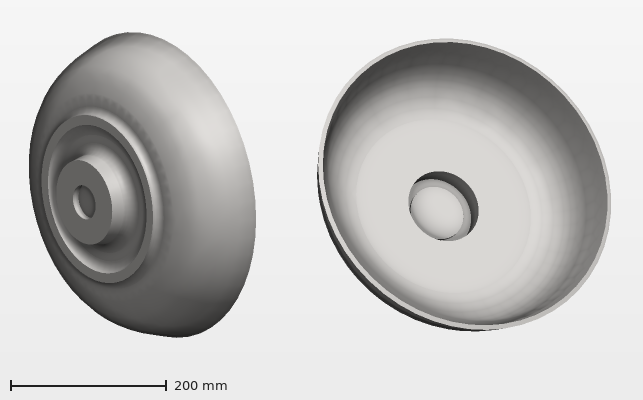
import cadquery as cq
import math


rim_radius = 200.0
wall_thickness = 6.0
wall_taper = math.radians(18.2)
bowl_depth = 89.0
shoulder_points = [(184.5, -48.0), (169.2, -70.0), (157.2, -79.0), (144.5, -84.5)]

ring_root_radius = 119.2
ring_outer_radius = 110.0
ring_inner_radius = 97.2
ring_depth = 99.2

groove_outer_radius = 83.0
groove_inner_radius = 72.0
groove_depth = 91.5

boss_root_radius = 58.5
boss_root_depth = 104.5
boss_end_radius = 55.2
boss_end_depth = 121.2
boss_end_thickness = 9.5
bore_radius = 48.0
hole_radius = 22.5

cover_radius = 36.0
cover_thickness = 4.0

rim_depth = wall_thickness * math.sin(wall_taper)
rim_inner_radius = rim_radius - wall_thickness * math.cos(wall_taper)
inner_depth = bowl_depth - wall_thickness
bore_depth = boss_end_depth - boss_end_thickness

rim_direction = (-math.sin(wall_taper), -math.cos(wall_taper))
wall_points = [(rim_radius, -rim_depth), *shoulder_points, (ring_root_radius, -bowl_depth)]


def inner_wall_points():
    """Inner wall from the bottom up to the rim, one wall thickness inside the outer wall."""
    points = [(ring_root_radius, -inner_depth)]
    for index in range(len(shoulder_points), 0, -1):
        before, point, after = wall_points[index - 1:index + 2]
        run = after[0] - before[0]
        drop = after[1] - before[1]
        chord = math.hypot(run, drop)
        points.append((
            point[0] + wall_thickness * drop / chord,
            point[1] - wall_thickness * run / chord,
        ))
    return points + [(rim_inner_radius, 0)]


def groove_outer_mid():
    """Middle of the outer groove fillet, an arc tangent to the floor that meets the ring face."""
    width = ring_inner_radius - groove_outer_radius
    height = ring_depth - groove_depth
    fillet_radius = (width**2 + height**2) / (2 * height)
    half_sweep = math.atan2(height, width)
    return (
        groove_outer_radius + fillet_radius * math.sin(half_sweep),
        -groove_depth - fillet_radius * (1 - math.cos(half_sweep)),
    )


def make_bowl():
    root_width = ring_root_radius - ring_outer_radius
    root_height = ring_depth - bowl_depth
    bulge = 1 - math.sqrt(0.5)
    root_mid = (
        ring_outer_radius + bulge * root_width,
        -bowl_depth - bulge * root_height,
    )
    inner_points = inner_wall_points()
    bottom_direction = (-1, 0)
    inner_bottom_direction = (1, 0)
    inner_rim_direction = (-rim_direction[0], -rim_direction[1])
    profile = (
        cq.Workplane("XY")
        .moveTo(rim_inner_radius, 0)
        .lineTo(rim_radius, -rim_depth)
        .spline(wall_points[1:], tangents=[rim_direction, bottom_direction], includeCurrent=True)
        .threePointArc(root_mid, (ring_outer_radius, -ring_depth))
        .lineTo(ring_inner_radius, -ring_depth)
        .threePointArc(groove_outer_mid(), (groove_outer_radius, -groove_depth))
        .lineTo(groove_inner_radius, -groove_depth)
        .tangentArcPoint((boss_root_radius, -boss_root_depth), relative=False)
        .lineTo(boss_end_radius, -boss_end_depth)
        .lineTo(hole_radius, -boss_end_depth)
        .lineTo(hole_radius, -bore_depth)
        .lineTo(bore_radius, -bore_depth)
        .lineTo(bore_radius, -inner_depth)
        .lineTo(*inner_points[0])
        .spline(inner_points[1:], tangents=[inner_bottom_direction, inner_rim_direction], includeCurrent=True)
        .close()
    )
    return profile.revolve(360, (0, 0, 0), (0, 1, 0))


def make_cover():
    """Disc resting on the inner face of the boss end."""
    profile = cq.Workplane("XY").moveTo(0, -bore_depth)
    profile = profile.lineTo(cover_radius, -bore_depth)
    profile = profile.lineTo(cover_radius, cover_thickness - bore_depth)
    profile = profile.lineTo(0, cover_thickness - bore_depth).close()
    return profile.revolve(360, (0, 0, 0), (0, 1, 0))


bowl = make_bowl()
cover = make_cover()
result = cq.Compound.makeCompound([bowl.val(), cover.val()])